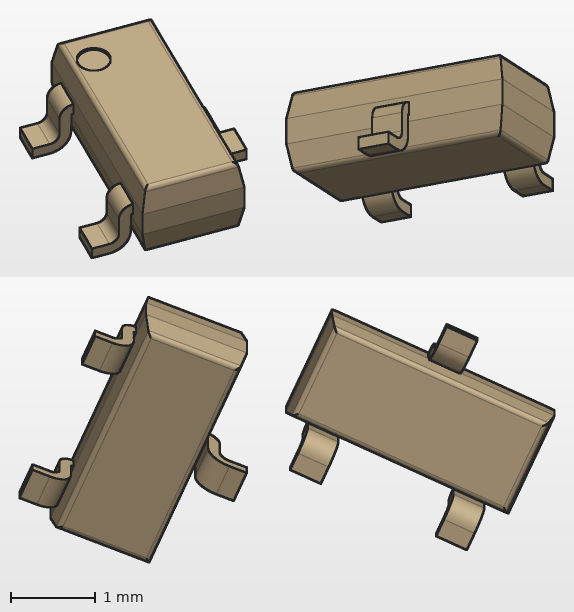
import cadquery as cq
import math

body_length = 2.9
body_width = 1.3
body_height = 1.018
standoff = 0.102
lead_span = 2.35

band_height = 0.32
taper_angle = 10.0
edge_radius = 0.065

dot_diameter = 0.4
dot_depth = 0.03
dot_y = -0.313

lead_width = 0.4
lead_thickness = 0.15
lead_x = 0.95
shoulder_inner_radius = 0.03
heel_inner_radius = 0.122

mid_z = standoff + body_height / 2
taper_height = (body_height - band_height) / 2
lead_top = mid_z + lead_thickness / 2
lead_bottom = mid_z - lead_thickness / 2
body_face = body_width / 2
toe = lead_span / 2
shank_inner = body_face + shoulder_inner_radius
shank_outer = shank_inner + lead_thickness
shoulder_outer_radius = shoulder_inner_radius + lead_thickness
heel_outer_radius = heel_inner_radius + lead_thickness
shoulder_z = lead_top - shoulder_outer_radius
heel_y = shank_outer + heel_inner_radius
heel_z = heel_outer_radius


def make_body():
    """Moulded body: band, two tapered halves, rounded rims and pin 1 recess."""
    band = cq.Workplane("XY").box(body_length, body_width, band_height)
    body = (
        band
        .faces(">Z").wires().toPending().extrude(taper_height, taper=taper_angle)
        .faces("<Z").wires().toPending().workplane().extrude(taper_height, taper=taper_angle)
    )
    body = body.faces("|Z").edges().fillet(edge_radius)
    body = body.translate((0, 0, mid_z))
    dot = (
        cq.Workplane("XY")
        .workplane(offset=standoff + body_height - dot_depth)
        .center(-lead_x, dot_y)
        .circle(dot_diameter / 2)
        .extrude(dot_depth)
    )
    return body.cut(dot)


def arc_middle(center_y, center_z, radius, angle):
    """Point on a bend, at an angle in degrees from the outward direction."""
    turn = math.radians(angle)
    return (center_y + radius * math.cos(turn), center_z + radius * math.sin(turn))


def make_lead(x, side):
    """Lead centred at x, on the +Y (side = 1) or -Y (side = -1) face of the body."""
    lead = (
        cq.Workplane("YZ")
        .moveTo(body_face, lead_top)
        .threePointArc(
            arc_middle(body_face, shoulder_z, shoulder_outer_radius, 45),
            (shank_outer, shoulder_z),
        )
        .lineTo(shank_outer, heel_z)
        .threePointArc(
            arc_middle(heel_y, heel_z, heel_inner_radius, 225),
            (heel_y, lead_thickness),
        )
        .lineTo(toe, lead_thickness)
        .lineTo(toe, 0)
        .lineTo(heel_y, 0)
        .threePointArc(
            arc_middle(heel_y, heel_z, heel_outer_radius, 225),
            (shank_inner, heel_z),
        )
        .lineTo(shank_inner, shoulder_z)
        .threePointArc(
            arc_middle(body_face, shoulder_z, shoulder_inner_radius, 45),
            (body_face, lead_bottom),
        )
        .close()
        .extrude(lead_width / 2, both=True)
    )
    if side < 0:
        lead = lead.mirror("XZ")
    return lead.translate((x, 0, 0))


body = make_body()
lead_places = [(-lead_x, -1), (lead_x, -1), (0, 1)]
leads = [make_lead(x, side) for x, side in lead_places]

result = cq.Compound.makeCompound([body.val(), *[lead.val() for lead in leads]])